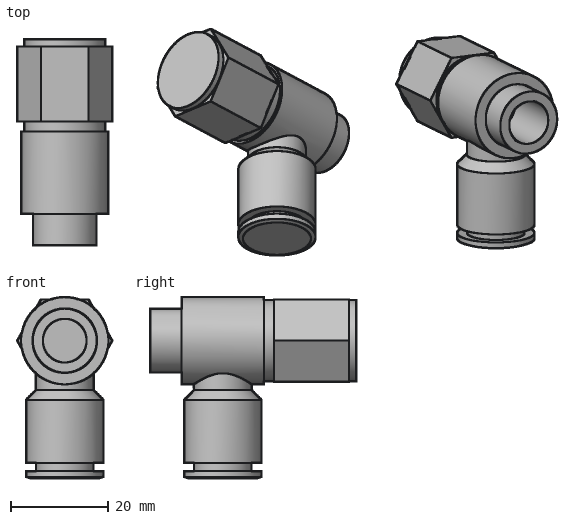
import cadquery as cq
import math

SLEEVE_START = 6.5
SLEEVE_END = 23.45
HEX_START = 25.5
HEX_END = 41.0
BOLT_LENGTH = 42.5

STEM_DIAMETER = 13.18
COLLAR_DIAMETER = 16.8
HEX_ACROSS_FLATS = 17.0
HEX_ACROSS_CORNERS = HEX_ACROSS_FLATS / math.cos(math.pi / 6)
BORE_DIAMETER = 9.0

SLEEVE_DIAMETER = 18.0
SLEEVE_BORE_DIAMETER = 13.3
SLEEVE_MIDDLE = (SLEEVE_START + SLEEVE_END) / 2
BORE_DEPTH = SLEEVE_MIDDLE

NECK_RADIUS = 12.0 / 2
BODY_RADIUS = 16.0 / 2
GROOVE_RADIUS = 11.9 / 2
END_FACE_RADIUS = 14.02 / 2
NECK_BOTTOM = -10.2
CONE_BOTTOM = NECK_BOTTOM - (BODY_RADIUS - NECK_RADIUS)
BODY_BOTTOM = -25.15
FLANGE_TOP = -26.85
FLANGE_RIM_BOTTOM = -28.05
BRANCH_BOTTOM = -28.4


def plane_at(y):
    """Plane across the bolt axis at station y, facing +Y."""
    return cq.Workplane("XZ", origin=(0, y, 0)).workplane(invert=True)


def cylinder(diameter, y_start, y_end):
    """Cylinder on the bolt axis between two stations."""
    return plane_at(y_start).circle(diameter / 2).extrude(y_end - y_start)


def make_bolt():
    """Hexagon-headed bolt with a collar at each end of the hexagon and a blind bore in the stem."""
    stem = cylinder(STEM_DIAMETER, 0, SLEEVE_END)
    collar = cylinder(COLLAR_DIAMETER, SLEEVE_END, BOLT_LENGTH)
    hexagon = plane_at(HEX_START).polygon(6, HEX_ACROSS_CORNERS).extrude(HEX_END - HEX_START)
    bore = cylinder(BORE_DIAMETER, 0, BORE_DEPTH)
    return stem.union(collar).union(hexagon).cut(bore)


def make_branch():
    """Turned tube socket with a release flange, hanging below the bolt axis."""
    profile = [
        (0, 0),
        (NECK_RADIUS, 0),
        (NECK_RADIUS, NECK_BOTTOM),
        (BODY_RADIUS, CONE_BOTTOM),
        (BODY_RADIUS, BODY_BOTTOM),
        (GROOVE_RADIUS, BODY_BOTTOM),
        (GROOVE_RADIUS, FLANGE_TOP),
        (BODY_RADIUS, FLANGE_TOP),
        (BODY_RADIUS, FLANGE_RIM_BOTTOM),
        (END_FACE_RADIUS, BRANCH_BOTTOM),
        (0, BRANCH_BOTTOM),
    ]
    outline = cq.Workplane("XZ", origin=(0, SLEEVE_MIDDLE, 0)).polyline(profile).close()
    return outline.revolve(360, (0, 0), (0, 1))


def make_elbow():
    """Sleeve and branch in one piece, bored through for the bolt stem."""
    sleeve = cylinder(SLEEVE_DIAMETER, SLEEVE_START, SLEEVE_END)
    stem_bore = cylinder(SLEEVE_BORE_DIAMETER, SLEEVE_START, SLEEVE_END)
    return sleeve.union(make_branch()).cut(stem_bore)


bolt = make_bolt()
elbow = make_elbow()

result = cq.Compound.makeCompound([bolt.solids().val(), elbow.solids().val()])